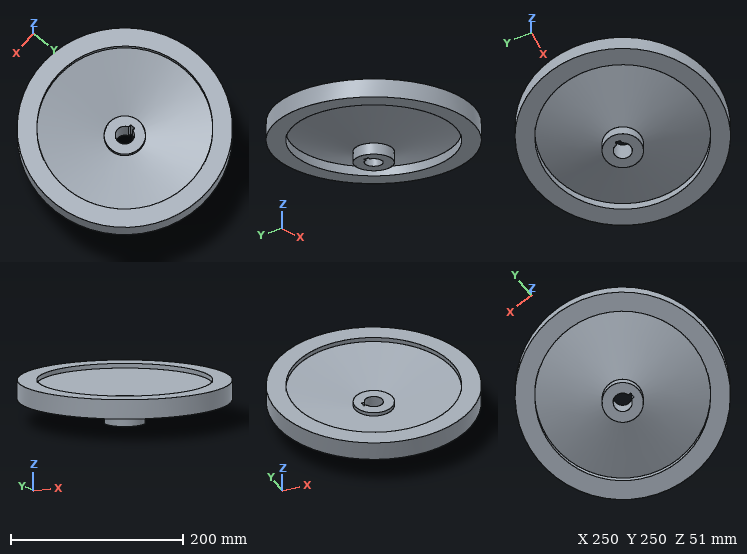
import cadquery as cq
import math

rim_diameter = 250
rim_inner_diameter = 204
rim_height = 23
hub_diameter = 48
hub_length = 28
total_height = 51
hub_exposed_below = 14
web_under_angle = 18
rim_lip = 5.5
hub_lip = 4.5
bore_diameter = 22
key_width = 6
key_reach = 14

rim_radius = rim_diameter / 2
rim_inner_radius = rim_inner_diameter / 2
hub_radius = hub_diameter / 2
rim_bottom = total_height - rim_height
web_span = rim_inner_radius - hub_radius
web_under_rise = web_span * math.tan(math.radians(web_under_angle))


def wheel_body():
    """Rim, conical web recessed inside the rim on both sides, and hub, revolved about Z."""
    section = [
        (0, 0),
        (hub_radius, 0),
        (hub_radius, hub_exposed_below),
        (rim_inner_radius, hub_exposed_below + web_under_rise),
        (rim_inner_radius, rim_bottom),
        (rim_radius, rim_bottom),
        (rim_radius, total_height),
        (rim_inner_radius, total_height),
        (rim_inner_radius, total_height - rim_lip),
        (hub_radius, hub_length - hub_lip),
        (hub_radius, hub_length),
        (0, hub_length),
    ]
    return cq.Workplane("XZ").polyline(section).close().revolve(360, (0, 0), (0, 1))


def keyed_bore():
    """Through bore with a rectangular keyway on the -X side."""
    bore = cq.Workplane("XY").circle(bore_diameter / 2).extrude(hub_length)
    keyway = (
        cq.Workplane("XY")
        .center(-key_reach / 2, 0)
        .rect(key_reach, key_width)
        .extrude(hub_length)
    )
    return bore.union(keyway)


result = wheel_body().cut(keyed_bore())